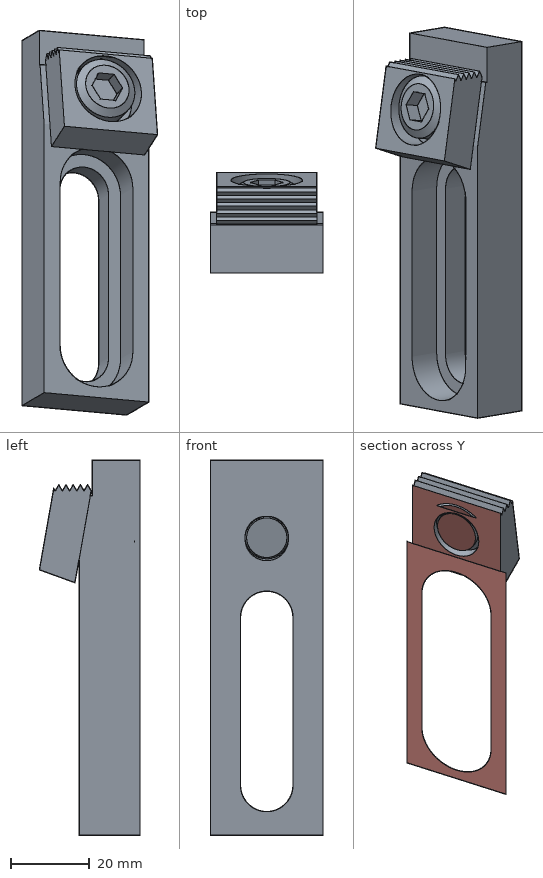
import cadquery as cq
import math

TILT = 10.0
tilt_sin = math.sin(math.radians(TILT))
tilt_cos = math.cos(math.radians(TILT))
tilt_tan = tilt_sin / tilt_cos

body_width = 28.575
body_height = 95.25
body_depth = 15.5
top_depth = 12.2
seat_top_z = 86.25
seat_top_y = 12.65

slot_width = 13.25
slot_length = 55.9
slot_bottom_z = 6.05
slot_land = 6.9
slot_recess_width = 19.8
slot_center_z = slot_bottom_z + slot_length / 2

screw_axis_z = 75.33
screw_diameter = 11.05
screw_end_chamfer = 0.42
screw_end_recess = 1.3
head_diameter = 15.875
head_top_diameter = 11.8
head_chamfer_angle = 30.0
head_chamfer_height = (head_diameter - head_top_diameter) / 2 * math.tan(math.radians(head_chamfer_angle))
head_recess = 0.47
socket_across_flats = 7.2
socket_depth = 4.0
socket_turn = 30.0

jaw_width = 25.4
jaw_thickness = 9.5
jaw_bottom_relief = 2 * TILT
jaw_bottom_z = 64.1
tooth_count = 5
tooth_pitch = 1.83
tooth_height = 1.585
tooth_tip_z = 89.05
jaw_hole_diameter = 12.7
jaw_hole_drop = 0.75
counterbore_diameter = 18.1
counterbore_depth = 7.0

axis_direction = cq.Vector(0, tilt_cos, tilt_sin)
down_seat = cq.Vector(0, tilt_sin, -tilt_cos)
axis_start = cq.Vector(0, 0, screw_axis_z)
seat_distance = seat_top_y * tilt_cos + (seat_top_z - screw_axis_z) * tilt_sin
jaw_face_distance = seat_distance + jaw_thickness
counterbore_floor_distance = jaw_face_distance - counterbore_depth
head_top_distance = jaw_face_distance - head_recess


def seat_y(z, offset=0.0):
    """Y at height z of the plane parallel to the seat, offset outward from it."""
    return seat_top_y + (seat_top_z - z) * tilt_tan + offset / tilt_cos


def on_axis(distance, drop=0.0):
    """Workplane square to the screw axis, at a distance along it and moved down along the seat."""
    origin = axis_start + axis_direction * distance + down_seat * drop
    return cq.Workplane(cq.Plane(origin=origin, xDir=(1, 0, 0), normal=axis_direction))


def make_body():
    """Body with a tilted jaw seat, a stepped slot and the screw's hole."""
    seat_bottom_z = seat_top_z - (body_depth - seat_top_y) / tilt_tan
    profile = [
        (0, 0),
        (body_depth, 0),
        (body_depth, seat_bottom_z),
        (seat_top_y, seat_top_z),
        (top_depth, seat_top_z),
        (top_depth, body_height),
        (0, body_height),
    ]
    body = cq.Workplane("YZ").polyline(profile).close().extrude(body_width / 2, both=True)

    slot_plane = cq.Workplane("XZ").center(0, slot_center_z)
    slot = slot_plane.slot2D(slot_length, slot_width, 90).extrude(-body_depth)
    recess_length = slot_length + slot_recess_width - slot_width
    recess = (
        slot_plane.workplane(offset=-slot_land)
        .slot2D(recess_length, slot_recess_width, 90)
        .extrude(-(body_depth - slot_land))
    )
    overrun = screw_diameter
    screw_hole = (
        on_axis(-overrun)
        .circle(screw_diameter / 2)
        .extrude(seat_distance + 2 * overrun)
    )
    return body.cut(slot).cut(recess).cut(screw_hole)


def make_jaw():
    """Serrated jaw on the seat, counterbored for the screw head."""
    valley_z = tooth_tip_z - tooth_height
    first_valley_y = seat_y(valley_z)
    points = []
    for tooth in range(tooth_count):
        y = first_valley_y + tooth * tooth_pitch
        points.append((y, valley_z))
        points.append((y + tooth_pitch / 2, tooth_tip_z))
    last_valley_y = first_valley_y + tooth_count * tooth_pitch
    points.append((last_valley_y, valley_z))
    flank = 2 * tooth_height / tooth_pitch
    outer_y = seat_y(valley_z, jaw_thickness)
    corner_y = (outer_y + tilt_tan * flank * last_valley_y) / (1 + tilt_tan * flank)
    points.append((corner_y, valley_z + (corner_y - last_valley_y) * flank))
    relief = math.tan(math.radians(jaw_bottom_relief))
    inner_y = seat_y(jaw_bottom_z)
    run = jaw_thickness / tilt_cos / (1 + relief * tilt_tan)
    points.append((inner_y + run, jaw_bottom_z + run * relief))
    points.append((inner_y, jaw_bottom_z))
    jaw = cq.Workplane("YZ").polyline(points).close().extrude(jaw_width / 2, both=True)
    hole = on_axis(0, jaw_hole_drop).circle(jaw_hole_diameter / 2).extrude(jaw_face_distance)
    counterbore = (
        on_axis(counterbore_floor_distance, jaw_hole_drop)
        .circle(counterbore_diameter / 2)
        .extrude(2 * counterbore_depth)
    )
    return jaw.cut(hole).cut(counterbore)


def make_screw():
    """Socket screw with a chamfered end and a chamfered head."""
    shank = (
        on_axis(screw_end_recess)
        .circle(screw_diameter / 2)
        .extrude(counterbore_floor_distance - screw_end_recess)
        .faces(cq.selectors.DirectionMinMaxSelector(axis_direction, False))
        .chamfer(screw_end_chamfer)
    )
    rim_distance = head_top_distance - head_chamfer_height
    head = (
        on_axis(counterbore_floor_distance)
        .circle(head_diameter / 2)
        .extrude(rim_distance - counterbore_floor_distance)
    )
    head_crown = (
        on_axis(rim_distance)
        .circle(head_diameter / 2)
        .extrude(head_chamfer_height, taper=90 - head_chamfer_angle)
    )
    socket = (
        on_axis(head_top_distance)
        .transformed(rotate=(0, 0, socket_turn))
        .polygon(6, socket_across_flats, circumscribed=True)
        .extrude(-socket_depth)
    )
    return shank.union(head).union(head_crown).cut(socket)


body = make_body()
jaw = make_jaw()
screw = make_screw()

result = cq.Compound.makeCompound([body.val(), jaw.val(), screw.val()])